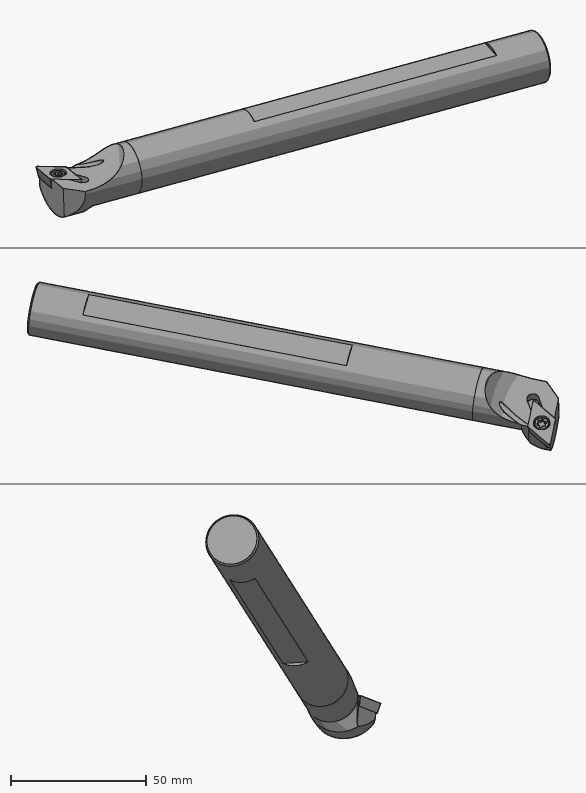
import cadquery as cq
import math


BAR_LENGTH = 200.0
BAR_DIAMETER = 20.0
BAR_RADIUS = BAR_DIAMETER / 2
JOINT_Y = 31.0
END_CHAMFER = 0.5
FLAT_HEIGHT = 8.8
FLAT_START_Y = 80.0
FLAT_END_Y = 180.0

HEAD_RADIUS = 13.0
HEAD_OFFSET = BAR_RADIUS - HEAD_RADIUS
FLARE_START_Y = 12.5
FLARE_END_Y = 9.2
NOSE_CLEARANCE = 0.5
CORNER_CUT = 1.2
BEVEL_START_X = 3.8
BEVEL_END_Y = 7.5
GULLET_RADIUS = 15.5
FLOOR_RADIUS = 18.0
GULLET_CENTRE = (-2.5, -4.0)
COOLANT_DIAMETER = 2.5
COOLANT_START = (-4.8, 21.2, 2.0)
COOLANT_DEPTH = 6.0
RELIEF_WIDTH = 4.5
RELIEF_OVERHANG = 0.5

NOSE_X = -16.2
NOSE_RADIUS = 0.5
NOSE_ANGLE = 55.0
INSCRIBED_DIAMETER = 9.5
INSERT_THICKNESS = 4.0
RELIEF_ANGLE = 7.0
LEAD_ANGLE = 3.0
SEAT_TILT = 4.5

SCREW_HEAD_DIAMETER = 5.0
SCREW_SHANK_DIAMETER = 4.0
INSERT_HOLE_DIAMETER = 6.0
SCREW_HEAD_DROP = 0.5
SCREW_HEAD_HEIGHT = 2.2
SCREW_LENGTH = 9.0
SOCKET_DIAMETER = 3.5
SOCKET_DEPTH = 1.5
SOCKET_LOBES = 6
LOBE_DIAMETER = 1.0

MARGIN = 20.0
PLAN_OVERRUN = 2.0

edge_length = INSCRIBED_DIAMETER / math.sin(math.radians(NOSE_ANGLE))
diagonal_angle = LEAD_ANGLE + NOSE_ANGLE / 2
diagonal_length = 2 * edge_length * math.cos(math.radians(NOSE_ANGLE / 2))


def step(start, length, angle):
    """Point reached from start along a direction in the XY plane."""
    turn = math.radians(angle)
    return (start[0] + length * math.cos(turn), start[1] + length * math.sin(turn))


nose_centre = (NOSE_X + NOSE_RADIUS, NOSE_RADIUS)
nose_setback = NOSE_RADIUS / math.sin(math.radians(NOSE_ANGLE / 2))
apex = step(nose_centre, -nose_setback, diagonal_angle)
front_corner = step(apex, edge_length, LEAD_ANGLE)
back_corner = step(apex, edge_length, LEAD_ANGLE + NOSE_ANGLE)
inner_corner = step(apex, diagonal_length, diagonal_angle)
insert_centre = step(apex, diagonal_length / 2, diagonal_angle)


def tilt(body):
    """Lay a body built on the XY plane onto the tilted insert seat."""
    return body.rotate((NOSE_X, 0, 0), (NOSE_X, 1, 0), -SEAT_TILT)


def disc(diameter, top, height, centre=insert_centre):
    """Cylinder hanging down from height top."""
    return cq.Workplane("XY", origin=(*centre, top)).circle(diameter / 2).extrude(-height)


def along_y(radius, centre_x, start, end):
    """Cylinder parallel to Y."""
    return cq.Workplane("XZ", origin=(centre_x, start, 0)).circle(radius).extrude(start - end)


def make_shank():
    shank = along_y(BAR_RADIUS, 0, JOINT_Y, BAR_LENGTH).faces(">Y").chamfer(END_CHAMFER)
    flat_length = FLAT_END_Y - FLAT_START_Y
    flat_middle = (FLAT_START_Y + FLAT_END_Y) / 2
    for side in (1, -1):
        cutter = cq.Workplane("XY").box(BAR_DIAMETER, flat_length, BAR_DIAMETER)
        shank = shank.cut(cutter.translate((0, flat_middle, side * (FLAT_HEIGHT + BAR_RADIUS))))
    return shank


def make_insert_blank():
    """Rhombus with a rounded nose and relieved flanks."""
    outline = cq.Workplane("XY").polyline([apex, front_corner, inner_corner, back_corner]).close()
    blank = outline.extrude(-INSERT_THICKNESS, taper=RELIEF_ANGLE)
    nose_edge = cq.selectors.NearestToPointSelector((*apex, -INSERT_THICKNESS / 2))
    return blank.edges(nose_edge).fillet(NOSE_RADIUS)


def make_screw_blank():
    """Screw without its socket."""
    head = disc(SCREW_HEAD_DIAMETER, -SCREW_HEAD_DROP, SCREW_HEAD_HEIGHT)
    return head.union(disc(SCREW_SHANK_DIAMETER, -SCREW_HEAD_DROP, SCREW_LENGTH))


def make_insert():
    countersink = disc(INSERT_HOLE_DIAMETER, 0, SCREW_HEAD_DROP + SCREW_HEAD_HEIGHT / 2)
    return tilt(make_insert_blank().cut(countersink).cut(make_screw_blank()))


def make_screw():
    screw = make_screw_blank().cut(disc(SOCKET_DIAMETER - LOBE_DIAMETER, -SCREW_HEAD_DROP, SOCKET_DEPTH))
    for lobe in range(SOCKET_LOBES):
        lobe_centre = step(insert_centre, (SOCKET_DIAMETER - LOBE_DIAMETER) / 2, lobe * 360 / SOCKET_LOBES)
        screw = screw.cut(disc(LOBE_DIAMETER, -SCREW_HEAD_DROP, SOCKET_DEPTH, lobe_centre))
    return tilt(screw)


def make_head_blank():
    """Bar end flaring into the larger eccentric head."""
    neck = along_y(BAR_RADIUS, 0, FLARE_START_Y, JOINT_Y)
    flare = (
        cq.Workplane("XZ", origin=(0, FLARE_START_Y, 0))
        .circle(BAR_RADIUS)
        .workplane(offset=FLARE_START_Y - FLARE_END_Y)
        .center(HEAD_OFFSET, 0)
        .circle(HEAD_RADIUS)
        .loft(ruled=True)
    )
    return neck.union(flare).union(along_y(HEAD_RADIUS, HEAD_OFFSET, 0, FLARE_END_Y))


def make_nose_trim():
    """Everything around the plan outline of the head end."""
    lead_slope = math.tan(math.radians(LEAD_ANGLE))
    flank_slope = math.tan(math.radians(LEAD_ANGLE + NOSE_ANGLE))
    flank_shift = NOSE_CLEARANCE / math.sin(math.radians(LEAD_ANGLE + NOSE_ANGLE))

    def front_y(x):
        return apex[1] + NOSE_CLEARANCE + (x - apex[0]) * lead_slope

    def flank_y(x):
        return apex[1] + (x - apex[0] - flank_shift) * flank_slope

    corner_x = apex[0] + flank_shift + CORNER_CUT
    bevel_start = (BEVEL_START_X, front_y(BEVEL_START_X))
    bevel_slope = (BEVEL_END_Y - bevel_start[1]) / (BAR_RADIUS - BEVEL_START_X)
    plan = [
        (-BAR_RADIUS, FLARE_START_Y),
        (-BAR_RADIUS, flank_y(-BAR_RADIUS)),
        (corner_x, flank_y(corner_x)),
        (corner_x + CORNER_CUT / 2, front_y(corner_x + CORNER_CUT / 2)),
        bevel_start,
        (BAR_RADIUS + PLAN_OVERRUN, BEVEL_END_Y + bevel_slope * PLAN_OVERRUN),
        (BAR_RADIUS + PLAN_OVERRUN, FLARE_START_Y),
    ]
    kept = cq.Workplane("XY").workplane(offset=-MARGIN).polyline(plan).close().extrude(2 * MARGIN)
    around = cq.Workplane("XY").box(4 * MARGIN, 2 * MARGIN, 2 * MARGIN)
    return tilt(around.translate((0, FLARE_START_Y - MARGIN, 0)).cut(kept))


def make_gullet():
    """Flat over the insert seat, ringed by an arc that sweeps up to the bar surface."""
    middle = GULLET_RADIUS * math.sin(math.radians(45))
    profile = (
        cq.Workplane("XZ", origin=(*GULLET_CENTRE, 0))
        .lineTo(FLOOR_RADIUS, 0)
        .threePointArc(
            (FLOOR_RADIUS + middle, GULLET_RADIUS - middle),
            (FLOOR_RADIUS + GULLET_RADIUS, GULLET_RADIUS),
        )
        .lineTo(0, GULLET_RADIUS)
        .close()
    )
    return tilt(profile.revolve(360, (0, 0), (0, 1)))


def make_coolant_bore():
    """Bore aimed from the gullet at the insert nose."""
    start = cq.Vector(*COOLANT_START)
    aim = (cq.Vector(NOSE_X, 0, 0) - start).normalized()
    deep_end = start - aim * COOLANT_DEPTH
    bore = cq.Solid.makeCylinder(COOLANT_DIAMETER / 2, COOLANT_DEPTH + MARGIN, deep_end, aim)
    return cq.Workplane(bore)


def make_corner_relief():
    """Round-ended slot along the insert diagonal, clearing the inner corner."""
    end = step(inner_corner, RELIEF_OVERHANG, diagonal_angle)
    slot_length = diagonal_length / 2
    middle = step(end, -slot_length / 2, diagonal_angle)
    slot = (
        cq.Workplane("XY", origin=(*middle, 0))
        .slot2D(slot_length + RELIEF_WIDTH, RELIEF_WIDTH, diagonal_angle)
        .extrude(-INSERT_THICKNESS)
    )
    return tilt(slot)


def make_head():
    head = make_head_blank().cut(make_nose_trim()).cut(make_gullet())
    head = head.cut(make_coolant_bore()).cut(make_corner_relief())
    return head.cut(tilt(make_insert_blank())).cut(tilt(make_screw_blank()))


shank = make_shank()
head = make_head()
insert = make_insert()
screw = make_screw()

bodies = [shank, head, insert, screw]
result = cq.Compound.makeCompound([body.solids().val() for body in bodies])